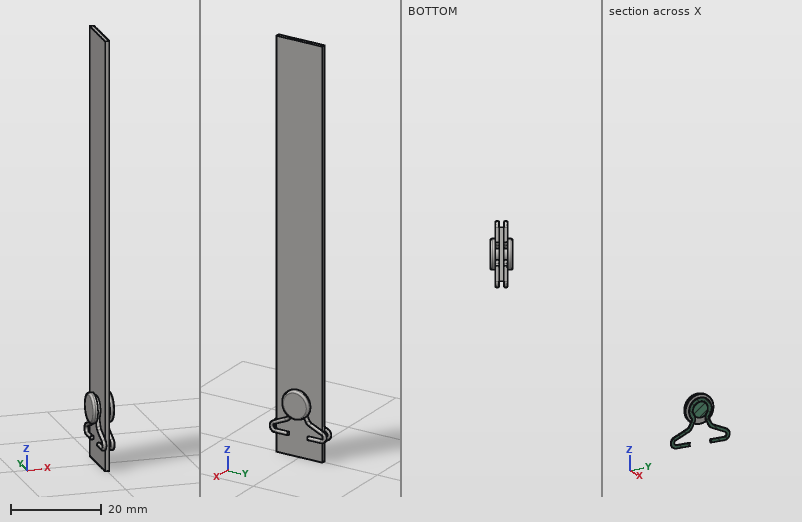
import cadquery as cq
import math

plate_thickness = 1.0
plate_width = 12.0
plate_length = 100.0

overall_thickness = 5.0
knob_height = 13.1
head_radius = 3.5
head_rounding = 0.5

overall_width = 14.8
wire_diameter = 0.9
wire_radius = wire_diameter / 2
loop_radius = 2.4
loop_end_angle = 48.0
neck_bend_radius = 0.6
neck_slope = 64.0
leg_bend_radius = 1.5
leg_slope = 24.0
end_bend_radius = 1.0
foot_drop = 7.8
foot_inner_end = 2.6

face_offset = plate_thickness / 2
wire_offset = face_offset + wire_radius
head_offset = face_offset + wire_diameter
hub_radius = loop_radius - wire_radius
end_bend_y = overall_width / 2 - wire_radius - end_bend_radius


def polar(center, radius, angle):
    """Point at an angle in degrees, counterclockwise from horizontal."""
    turn = math.radians(angle)
    return (center[0] + radius * math.cos(turn), center[1] + radius * math.sin(turn))


def distance_along(point, angle):
    """Distance of a point from the origin along a direction."""
    turn = math.radians(angle)
    return point[0] * math.cos(turn) + point[1] * math.sin(turn)


def point_from_distances(distance_a, angle_a, distance_b, angle_b):
    """Point at given distances from the origin along two directions."""
    a = math.radians(angle_a)
    b = math.radians(angle_b)
    scale = math.sin(b - a)
    return (
        (distance_a * math.sin(b) - distance_b * math.sin(a)) / scale,
        (distance_b * math.cos(a) - distance_a * math.cos(b)) / scale,
    )


def mirrored(point):
    return (-point[0], point[1])


def wire_half():
    """Right half of the wire centreline, about the knob axis, as (kind, points) pieces."""
    neck_normal = 90 - neck_slope
    leg_normal = 90 - leg_slope
    loop_end = loop_end_angle - 90

    neck_center = polar((0, 0), loop_radius + neck_bend_radius, loop_end)
    end_center = (end_bend_y, end_bend_radius - foot_drop)
    neck_line = distance_along(neck_center, neck_normal) - neck_bend_radius
    leg_line = distance_along(end_center, leg_normal) + end_bend_radius
    leg_center = point_from_distances(
        neck_line + leg_bend_radius, neck_normal, leg_line + leg_bend_radius, leg_normal
    )

    loop_tip = polar((0, 0), loop_radius, loop_end)
    neck_start = polar(neck_center, neck_bend_radius, neck_normal + 180)
    neck_mid = polar(neck_center, neck_bend_radius, (loop_end + neck_normal) / 2 + 180)
    neck_end = polar(leg_center, leg_bend_radius, neck_normal + 180)
    leg_mid = polar(leg_center, leg_bend_radius, (neck_normal + leg_normal) / 2 + 180)
    leg_start = polar(leg_center, leg_bend_radius, leg_normal + 180)
    leg_end = polar(end_center, end_bend_radius, leg_normal)
    end_mid = polar(end_center, end_bend_radius, (leg_normal - 90) / 2)
    foot_start = polar(end_center, end_bend_radius, -90)
    foot_tip = (foot_inner_end, -foot_drop)
    return [
        ("arc", [loop_tip, neck_mid, neck_start]),
        ("line", [neck_start, neck_end]),
        ("arc", [neck_end, leg_mid, leg_start]),
        ("line", [leg_start, leg_end]),
        ("arc", [leg_end, end_mid, foot_start]),
        ("line", [foot_start, foot_tip]),
    ]


def make_spring(side):
    """One bent round wire; side is -1 or +1 along X."""
    right = wire_half()
    left = [(kind, [mirrored(p) for p in reversed(points)]) for kind, points in reversed(right)]
    loop_tip = right[0][1][0]
    loop = ("arc", [mirrored(loop_tip), (0, loop_radius), loop_tip])

    foot_tip = left[0][1][0]
    path = cq.Workplane("YZ", origin=(side * wire_offset, 0, knob_height)).moveTo(*foot_tip)
    for kind, points in left + [loop] + right:
        if kind == "arc":
            path = path.threePointArc(*points[1:])
        else:
            path = path.lineTo(*points[1])

    tip_position = (side * wire_offset, foot_tip[0], knob_height + foot_tip[1])
    section = cq.Workplane("XZ", origin=tip_position).circle(wire_radius)
    return section.sweep(path)


def make_knob():
    """Hub and rounded head on the +X face."""
    hub = (
        cq.Workplane("YZ", origin=(face_offset, 0, knob_height))
        .circle(hub_radius)
        .extrude(head_offset - face_offset)
    )
    head = (
        cq.Workplane("YZ", origin=(head_offset, 0, knob_height))
        .circle(head_radius)
        .extrude(overall_thickness / 2 - head_offset)
        .faces(">X")
        .edges()
        .fillet(head_rounding)
    )
    return hub.union(head)


def make_plate():
    """Flat strip with an integral knob on both faces."""
    strip = cq.Workplane("XY").box(
        plate_thickness, plate_width, plate_length, centered=(True, True, False)
    )
    knob = make_knob()
    return strip.union(knob).union(knob.mirror("YZ"))


plate = make_plate()
springs = [make_spring(side) for side in (-1, 1)]

result = cq.Compound.makeCompound([plate.val(), *[spring.val() for spring in springs]])